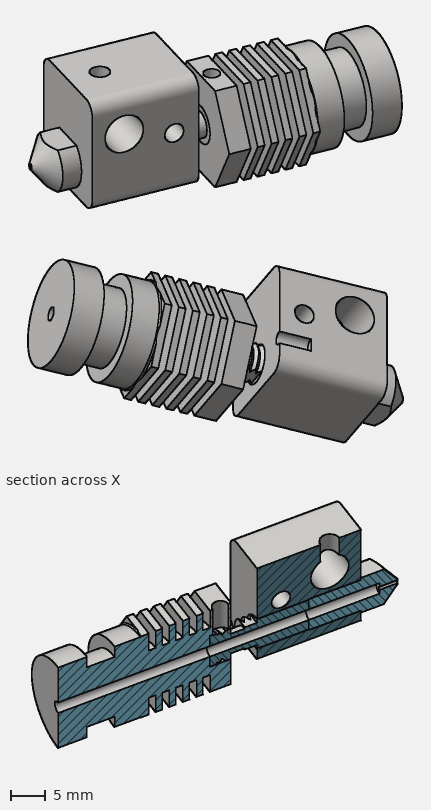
import cadquery as cq
import math


overall_length = 55.4
overall_height = 21.05
nozzle_shoulder_y = 3.0
block_bottom_y = 6.0
block_length = 17.0
block_top_y = block_bottom_y + block_length
thread_top_y = 25.0
sink_bottom_y = 27.2
hex_base_height = 3.45
hex_base_top_y = sink_bottom_y + hex_base_height
neck_bottom_y = 46.2
neck_top_y = 50.7
joint_y = block_bottom_y + block_length / 2

hex_across_corners = 18.6
hex_across_flats = hex_across_corners * math.cos(math.radians(30))
collar_diameter = 16.0
neck_diameter = 11.9
core_diameter = 9.5
fin_count = 5
fin_thickness = 1.1
fin_pitch = 2.2
first_fin_y = 31.75
root_ring_height = 0.3
root_ring_spread = 0.15
set_screw_diameter = 2.5
set_screw_y = 28.9

thread_diameter = 6.0
thread_root_diameter = 4.9
thread_pitch = 1.0
thread_depth = (thread_diameter - thread_root_diameter) / 2
exposed_grooves = 2
throat_diameter = 4.0
thread_flats_width = 4.5
upper_groove_y = 28.15
filament_bore_diameter = 2.0

block_width = 16.0
block_height = 18.0
block_top_z = overall_height - hex_across_flats / 2
block_corner_radius = 2.05
heater_diameter = 6.1
heater_y = 11.1
heater_z = 6.9
small_hole_diameter = 3.0
sensor_y = 19.05
sensor_z = 5.0
side_groove_width = 2.0
side_groove_depth = 1.15
side_groove_length = 5.0

nozzle_diameter = 9.0
nozzle_flats_width = 7.0
nozzle_tip_diameter = 1.0
orifice_diameter = 0.5


def cylinder_y(diameter, start_y, end_y, x=0, z=0):
    """Cylinder parallel to Y between two heights."""
    plane = cq.Plane(origin=(x, start_y, z), xDir=(1, 0, 0), normal=(0, 1, 0))
    return cq.Workplane(plane).circle(diameter / 2).extrude(end_y - start_y)


def hex_prism_y(start_y, end_y):
    """Hexagonal prism along the axis with two corners on the X axis."""
    plane = cq.Plane(origin=(0, start_y, 0), xDir=(1, 0, 0), normal=(0, 1, 0))
    return cq.Workplane(plane).polygon(6, hex_across_corners).extrude(end_y - start_y)


def revolve_y(profile):
    """Turn a closed (radius, y) profile about the Y axis."""
    return cq.Workplane("XY").polyline(profile).close().revolve(360, (0, 0, 0), (0, 1, 0))


def thread_groove(start_y, width):
    """V-shaped ring groove; narrower grooves are shallower at the same flank angle."""
    depth = thread_depth * width / thread_pitch
    outer = thread_diameter / 2
    valley = (outer - depth, start_y + width / 2)
    clearance_radius = outer + thread_depth
    return revolve_y([
        (outer, start_y),
        valley,
        (outer, start_y + width),
        (clearance_radius, start_y + width),
        (clearance_radius, start_y),
    ])


def make_heat_sink():
    top_fin_y = first_fin_y + (fin_count - 1) * fin_pitch
    top_fin_end_y = top_fin_y + fin_thickness
    collar_bottom_y = top_fin_end_y + root_ring_height

    sink = hex_prism_y(sink_bottom_y, hex_base_top_y)
    sink = sink.union(cylinder_y(core_diameter, hex_base_top_y, top_fin_end_y))
    for i in range(fin_count):
        fin_y = first_fin_y + i * fin_pitch
        sink = sink.union(hex_prism_y(fin_y, fin_y + fin_thickness))

    collar_radius = collar_diameter / 2
    root_ring = revolve_y([
        (0, top_fin_end_y),
        (collar_radius + root_ring_spread, top_fin_end_y),
        (collar_radius, collar_bottom_y),
        (0, collar_bottom_y),
    ]).intersect(hex_prism_y(top_fin_end_y, collar_bottom_y))
    sink = sink.union(root_ring)

    sink = sink.union(cylinder_y(collar_diameter, collar_bottom_y, neck_bottom_y))
    sink = sink.union(cylinder_y(neck_diameter, neck_bottom_y, neck_top_y))
    sink = sink.union(cylinder_y(collar_diameter, neck_top_y, overall_length))

    sink = sink.cut(cylinder_y(thread_diameter, sink_bottom_y, hex_base_top_y))
    sink = sink.cut(cylinder_y(filament_bore_diameter, hex_base_top_y, overall_length))
    set_screw_hole = (
        cq.Workplane("XY").center(0, set_screw_y).circle(set_screw_diameter / 2).extrude(hex_across_flats)
    )
    return sink.cut(set_screw_hole)


def make_heat_break():
    lower_thread = cylinder_y(thread_diameter, block_top_y, thread_top_y)
    for i in range(exposed_grooves):
        groove_y = thread_top_y - (i + 1) * thread_pitch
        lower_thread = lower_thread.cut(thread_groove(groove_y, thread_pitch))
    flats = cq.Workplane("XY").box(thread_diameter, 2 * overall_length, thread_flats_width)
    lower_thread = lower_thread.intersect(flats)

    upper_plug = cylinder_y(thread_diameter, sink_bottom_y, hex_base_top_y)
    upper_plug = upper_plug.cut(thread_groove(upper_groove_y, thread_pitch))
    upper_plug = upper_plug.cut(thread_groove(upper_groove_y + thread_pitch, thread_pitch / 2))

    heat_break = cylinder_y(thread_diameter, joint_y, block_top_y)
    heat_break = heat_break.union(lower_thread)
    heat_break = heat_break.union(cylinder_y(throat_diameter, thread_top_y, sink_bottom_y))
    heat_break = heat_break.union(upper_plug)
    return heat_break.cut(cylinder_y(filament_bore_diameter, joint_y, hex_base_top_y))


def make_heater_block():
    block = (
        cq.Workplane("XY")
        .box(block_width, block_length, block_height)
        .edges("|Y")
        .fillet(block_corner_radius)
        .translate((0, block_bottom_y + block_length / 2, block_top_z - block_height / 2))
    )

    block = block.cut(cylinder_y(thread_diameter, block_bottom_y, block_top_y))

    side_plane = cq.Workplane("YZ", origin=(-block_width / 2, 0, 0))
    block = block.cut(side_plane.center(heater_y, heater_z).circle(heater_diameter / 2).extrude(block_width))
    block = block.cut(side_plane.center(sensor_y, sensor_z).circle(small_hole_diameter / 2).extrude(block_width))

    clamp_hole = (
        cq.Workplane("XY", origin=(0, heater_y, heater_z))
        .circle(small_hole_diameter / 2)
        .extrude(block_top_z - heater_z)
    )
    block = block.cut(clamp_hole)

    groove_start_y = block_top_y - side_groove_length
    straight_depth = side_groove_depth - side_groove_width / 2
    groove_axis_x = -block_width / 2 + straight_depth
    side_groove = cylinder_y(side_groove_width, groove_start_y, block_top_y, x=groove_axis_x)
    straight_walls = cq.Workplane("XY").box(2 * straight_depth, side_groove_length, side_groove_width)
    straight_walls = straight_walls.translate((-block_width / 2, block_top_y - side_groove_length / 2, 0))
    return block.cut(side_groove.union(straight_walls))


def make_nozzle():
    head = revolve_y([
        (0, 0),
        (nozzle_tip_diameter / 2, 0),
        (nozzle_diameter / 2, nozzle_shoulder_y),
        (nozzle_diameter / 2, block_bottom_y),
        (0, block_bottom_y),
    ])
    wrench_flats = cq.Workplane("XY").box(nozzle_diameter, 2 * overall_length, nozzle_flats_width)
    nozzle = head.intersect(wrench_flats)
    nozzle = nozzle.union(cylinder_y(thread_diameter, block_bottom_y, joint_y))
    nozzle = nozzle.cut(cylinder_y(filament_bore_diameter, nozzle_shoulder_y, joint_y))
    return nozzle.cut(cylinder_y(orifice_diameter, 0, nozzle_shoulder_y))


heat_sink = make_heat_sink()
heat_break = make_heat_break()
heater_block = make_heater_block()
nozzle = make_nozzle()

result = cq.Compound.makeCompound([
    heat_sink.val(),
    heat_break.val(),
    heater_block.val(),
    nozzle.val(),
])